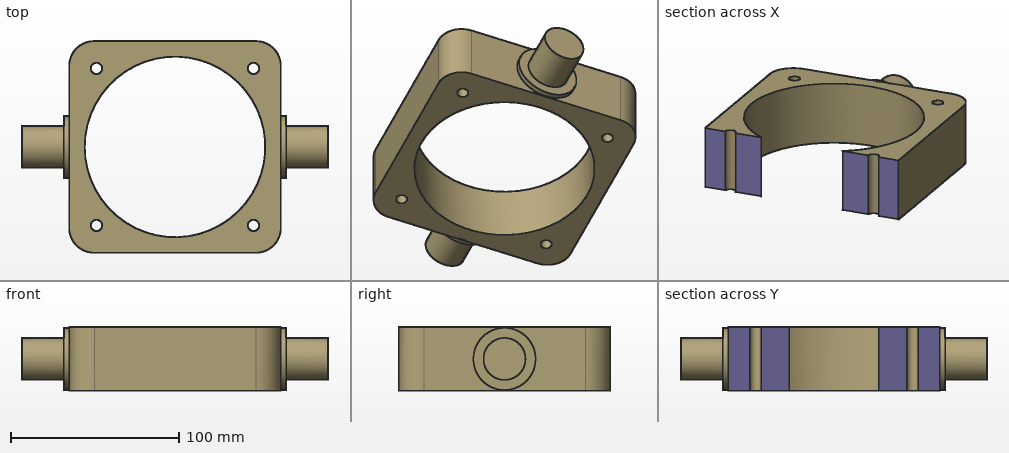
import math

import cadquery as cq

body_side = 126.0
body_height = 38.0
corner_radius = 15.0
bore_diameter = 107.2

bolt_hole_diameter = 6.6
bolt_circle_diameter = 132.0
bolt_hole_spacing = bolt_circle_diameter / math.sqrt(2)

overall_length = 182.0
collar_diameter = 37.0
collar_thickness = 3.0
pin_diameter = 25.0
pin_length = (overall_length - body_side) / 2 - collar_thickness


def make_body():
    """Rounded square block with the large bore and four corner holes."""
    block = cq.Workplane("XY").box(body_side, body_side, body_height)
    block = block.edges("|Z").fillet(corner_radius)
    block = block.faces(">Z").workplane().hole(bore_diameter)
    return (
        block.faces(">Z")
        .workplane()
        .rect(bolt_hole_spacing, bolt_hole_spacing, forConstruction=True)
        .vertices()
        .hole(bolt_hole_diameter)
    )


def add_trunnion(part, side):
    """Add a collar and pin to the body face on the given side (-X or +X)."""
    return (
        part.faces(side)
        .workplane(centerOption="CenterOfMass")
        .circle(collar_diameter / 2)
        .extrude(collar_thickness)
        .faces(side)
        .workplane(centerOption="CenterOfMass")
        .circle(pin_diameter / 2)
        .extrude(pin_length)
    )


result = make_body()
for side in ("<X", ">X"):
    result = add_trunnion(result, side)